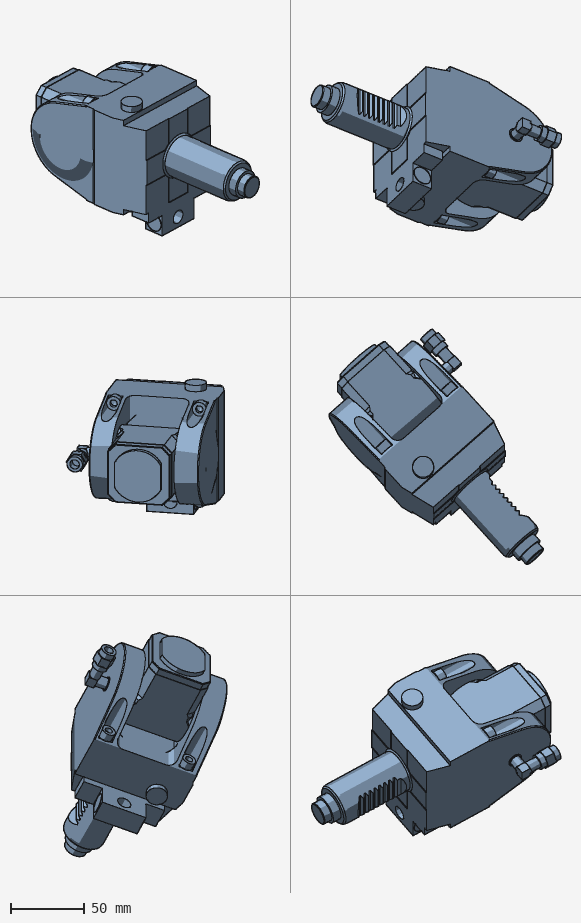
import cadquery as cq
import math


HALF_HEIGHT = 36.8
BACK_Y = 37.4
FRONT_Y = -40.0
ARM_FRONT_Y = -39.2
FLANGE_HALF = 32.7
FLANGE_DEPTH = 16.3
PAD_HALF_WIDTH = 9.8
PAD_HEIGHT = 0.5
FRONT_TAPER_LENGTH = 24.0
FRONT_STEP_END_X = -40.8
FRONT_STEP_LENGTH = 1.6

PIVOT_X = -69.7
ARM_RADIUS = 30.1
ARM_SLOPE = math.radians(15)
ARM_CHAMFER = 0.7
SLOT_HALF_WIDTH = 22.1
SLOT_CORNER = 6.0
CLEARANCE_HALF_HEIGHT = 22.9
CAP_BASE_RADIUS = 27.8
CAP_TOP_RADIUS = 18.7
CAP_Y = -42.1

SCREW_BACK_Y = 30.0
SCREW_FRONT_Y = -30.0
SCREW_Z = 32.5
SCREW_RADIUS = 4.9
SCREW_LENGTH = 6.0
SCREW_SEAT_X = -50.5
SCREW_RECESS_RADIUS = 5.0
SOCKET_RADIUS = 2.5
SOCKET_DEPTH = 3.0
SOCKET_CONE_DEPTH = 1.5

HEAD_HALF_HEIGHT = 21.0
HEAD_CHAMFER = 5.5
RUNOUT_START_X = -82.8
RUNOUT_STEP_START_X = -80.2
RUNOUT_STEP_END_X = -77.0
RUNOUT_END_X = -73.1
RUNOUT_STEP_CHAMFER = 3.5
RUNOUT_END_CHAMFER = 0.09
COVER_JOINT_X = -105.3
COVER_FACE_X = -110.5
COVER_INSET = 0.4
COVER_EDGE = 0.5
NOSE_X = -114.0
NOSE_RADIUS = 18.3
NOSE_HALF_WIDTH = 16.0

SHANK_RADIUS = 15.0
COLLAR_RADIUS = 16.3
COLLAR_END_X = 1.5
RELIEF_RADIUS = 14.9
RELIEF_END_X = 2.2
SHANK_TAPER_X = 51.9
SHANK_EDGE_X = 54.0
SHANK_EDGE_RADIUS = 14.5
SHANK_END_X = 55.2
SHANK_END_RADIUS = 13.5
STEP_RADIUS = 10.0
STEP_END_X = 61.3
TIP_RADIUS = 8.0
TIP_X = 67.5
TIP_CHAMFER = 0.5

RACK_START_X = 4.4
RACK_END_X = 44.5
RACK_FLOOR_Y = 12.2
TOOTH_ROOT_Y = 10.3
FIRST_ROOT_X = 11.8
TOOTH_PITCH = 4.0
TOOTH_COUNT = 8
ROOT_HALF_WIDTH = 0.5
GROOVE_HALF_WIDTH = 1.6

STUD_X = -24.3
STUD_Y = -20.1
STUD_RADIUS = 7.3
STUD_TOP_Z = 41.4
STUD_BOTTOM_Z = -40.8

LUG_LENGTH = 15.0
LUG_WIDE_HALF = 30.1
LUG_WIDE_Z = -40.3
LUG_HALF_WIDTH = 16.3
LUG_BOTTOM_Z = -56.0
LUG_HOLE_Z = -48.0
LUG_HOLE_RADIUS = 4.9
LUG_DISC_RADIUS = 6.7
LUG_DISC_HEIGHT = 0.4

FITTING_Y = 48.0
PIPE_RADIUS = 4.0
PIPE_RING_RADIUS = 5.0
PIPE_RING_HEIGHT = 0.5
ELBOW_LENGTH = 6.9
ELBOW_DEPTH = 6.5
NUT_START_X = -96.7
NUT_END_X = -81.1
NUT_RADIUS = 5.5
HEX_START_X = -92.4
HEX_END_X = -85.5
HEX_ACROSS_CORNERS = 13.8
BORE_RADIUS = 3.3
BORE_DEPTH = 7.3

tangent_x = PIVOT_X - ARM_RADIUS * math.sin(ARM_SLOPE)
tangent_z = ARM_RADIUS * math.cos(ARM_SLOPE)
shoulder_x = tangent_x + (HALF_HEIGHT - tangent_z) / math.tan(ARM_SLOPE)


def rod_x(x_start, x_end, radius, y=0.0, z=0.0):
    """Round bar parallel to X."""
    return cq.Workplane("YZ", origin=(x_start, y, z)).circle(radius).extrude(x_end - x_start)


def rod_y(y_start, y_end, radius, x, z=0.0):
    """Round bar parallel to Y."""
    return cq.Workplane("XZ", origin=(x, y_start, z)).circle(radius).extrude(y_start - y_end)


def block(x_range, y_range, z_range):
    """Box given by its start and end along each axis."""
    corner = (x_range[0], y_range[0], z_range[0])
    size = [end - start for start, end in (x_range, y_range, z_range)]
    return cq.Workplane(origin=corner).box(*size, centered=False)


def octagon(x, half_y, half_z, chamfer):
    """Rectangle with cut corners, drawn across X."""
    quarter = [(half_y, half_z - chamfer), (half_y - chamfer, half_z)]
    upper = quarter + [(-y, z) for y, z in reversed(quarter)]
    lower = [(-y, -z) for y, z in upper]
    return cq.Workplane("YZ", origin=(x, 0, 0)).polyline(upper + lower).close()


def make_body():
    """Block with tapered sides, stepped down to a flange that carries a raised cross."""
    body = (
        cq.Workplane("XY", origin=(0, 0, -HALF_HEIGHT))
        .moveTo(shoulder_x, ARM_FRONT_Y)
        .lineTo(FRONT_STEP_END_X - FRONT_STEP_LENGTH, ARM_FRONT_Y)
        .lineTo(FRONT_STEP_END_X, FRONT_Y)
        .lineTo(-FRONT_TAPER_LENGTH, FRONT_Y)
        .lineTo(0, -FLANGE_HALF)
        .lineTo(0, FLANGE_HALF)
        .lineTo(-FLANGE_DEPTH, BACK_Y)
        .lineTo(shoulder_x, BACK_Y)
        .close()
        .extrude(2 * HALF_HEIGHT)
    )
    for z_range in ((FLANGE_HALF, HALF_HEIGHT), (-HALF_HEIGHT, -FLANGE_HALF)):
        body = body.cut(block((-FLANGE_DEPTH, 0), (FRONT_Y, BACK_Y), z_range))
    long_side = (-FLANGE_HALF, FLANGE_HALF)
    short_side = (-PAD_HALF_WIDTH, PAD_HALF_WIDTH)
    body = body.union(block((0, PAD_HEIGHT), long_side, short_side))
    return body.union(block((0, PAD_HEIGHT), short_side, long_side))


def make_fork():
    """Two rounded arms with chamfered rims; the slot corners are square behind the head."""
    fork = (
        cq.Workplane("XZ", origin=(0, BACK_Y, 0))
        .moveTo(shoulder_x, HALF_HEIGHT)
        .lineTo(tangent_x, tangent_z)
        .threePointArc((PIVOT_X - ARM_RADIUS, 0), (tangent_x, -tangent_z))
        .lineTo(shoulder_x, -HALF_HEIGHT)
        .close()
        .extrude(BACK_Y - ARM_FRONT_Y)
    )
    fork = (
        fork.faces("<Y or >Y")
        .edges()
        .filter(lambda edge: edge.Center().x < shoulder_x - ARM_CHAMFER)
        .chamfer(ARM_CHAMFER)
    )
    slot = block(
        (PIVOT_X - ARM_RADIUS, shoulder_x),
        (-SLOT_HALF_WIDTH, SLOT_HALF_WIDTH),
        (-HALF_HEIGHT, HALF_HEIGHT),
    )
    fork = fork.cut(slot.edges("|Z and >X").fillet(SLOT_CORNER))
    clearance = octagon(PIVOT_X, SLOT_HALF_WIDTH, CLEARANCE_HALF_HEIGHT, SLOT_CORNER)
    return fork.cut(clearance.extrude(shoulder_x - PIVOT_X))


def make_cap():
    """Conical bearing cap on the -Y arm."""
    return (
        cq.Workplane("XZ", origin=(PIVOT_X, ARM_FRONT_Y, 0))
        .circle(CAP_BASE_RADIUS)
        .workplane(offset=ARM_FRONT_Y - CAP_Y)
        .circle(CAP_TOP_RADIUS)
        .loft()
    )


def make_screw_recess(y, side):
    """U-shaped trough for one screw, open outwards; side is +1 on top and -1 below."""
    x_start = PIVOT_X - ARM_RADIUS
    z = side * SCREW_Z
    trough = rod_x(x_start, SCREW_SEAT_X, SCREW_RECESS_RADIUS, y, z)
    opening = block(
        (x_start, SCREW_SEAT_X),
        (y - SCREW_RECESS_RADIUS, y + SCREW_RECESS_RADIUS),
        sorted((z, side * HALF_HEIGHT)),
    )
    return trough.union(opening)


def make_screw(y, side):
    """Socket screw head seated at the end of its trough; the socket has a conical bottom."""
    x_start = SCREW_SEAT_X - SCREW_LENGTH
    z = side * SCREW_Z
    head = rod_x(x_start, SCREW_SEAT_X, SCREW_RADIUS, y, z)
    socket = rod_x(x_start, x_start + SOCKET_DEPTH, SOCKET_RADIUS, y, z)
    cone = cq.Solid.makeCone(
        SOCKET_RADIUS,
        0,
        SOCKET_CONE_DEPTH,
        cq.Vector(x_start + SOCKET_DEPTH, y, z),
        cq.Vector(1, 0, 0),
    )
    return head.cut(socket).cut(cq.Workplane(cone))


def make_head():
    """Spindle housing with a round back, a front cover and a flattened nose."""
    stations = (
        (COVER_JOINT_X, HEAD_CHAMFER),
        (RUNOUT_START_X, HEAD_CHAMFER),
        (RUNOUT_STEP_START_X, RUNOUT_STEP_CHAMFER),
        (RUNOUT_STEP_END_X, RUNOUT_STEP_CHAMFER),
        (RUNOUT_END_X, RUNOUT_END_CHAMFER),
    )
    sections = [
        octagon(x, SLOT_HALF_WIDTH, HEAD_HALF_HEIGHT, chamfer).wires().val()
        for x, chamfer in stations
    ]
    head = cq.Workplane(cq.Solid.makeLoft(sections, True))
    head = head.union(
        block(
            (RUNOUT_END_X, PIVOT_X),
            (-SLOT_HALF_WIDTH, SLOT_HALF_WIDTH),
            (-HEAD_HALF_HEIGHT, HEAD_HALF_HEIGHT),
        )
    )
    head = head.union(rod_y(-SLOT_HALF_WIDTH, SLOT_HALF_WIDTH, HEAD_HALF_HEIGHT, PIVOT_X))

    cover = octagon(
        COVER_FACE_X,
        SLOT_HALF_WIDTH - COVER_INSET,
        HEAD_HALF_HEIGHT - COVER_INSET,
        HEAD_CHAMFER,
    )
    cover = cover.extrude(COVER_JOINT_X - COVER_FACE_X)
    cover = cover.faces("<X").chamfer(COVER_EDGE)

    nose = rod_x(NOSE_X, COVER_FACE_X, NOSE_RADIUS).intersect(
        block(
            (NOSE_X, COVER_FACE_X),
            (-NOSE_HALF_WIDTH, NOSE_HALF_WIDTH),
            (-NOSE_RADIUS, NOSE_RADIUS),
        )
    )
    return head.union(cover).union(nose)


def make_shank():
    """Turned shank with a row of teeth milled into its +Y side."""
    shank = (
        cq.Workplane("XY")
        .lineTo(0, COLLAR_RADIUS)
        .lineTo(PAD_HEIGHT, COLLAR_RADIUS)
        .lineTo(COLLAR_END_X, RELIEF_RADIUS)
        .lineTo(RELIEF_END_X, SHANK_RADIUS)
        .lineTo(SHANK_TAPER_X, SHANK_RADIUS)
        .lineTo(SHANK_EDGE_X, SHANK_EDGE_RADIUS)
        .lineTo(SHANK_END_X, SHANK_END_RADIUS)
        .lineTo(SHANK_END_X, STEP_RADIUS)
        .lineTo(STEP_END_X, STEP_RADIUS)
        .lineTo(STEP_END_X, TIP_RADIUS)
        .lineTo(TIP_X - TIP_CHAMFER, TIP_RADIUS)
        .lineTo(TIP_X, TIP_RADIUS - TIP_CHAMFER)
        .lineTo(TIP_X, 0)
        .close()
        .revolve(360, (0, 0, 0), (1, 0, 0))
    )
    ramp = SHANK_RADIUS - RACK_FLOOR_Y
    last_root_x = FIRST_ROOT_X + (TOOTH_COUNT - 1) * TOOTH_PITCH
    outline = [(RACK_START_X, SHANK_RADIUS), (RACK_START_X + ramp, RACK_FLOOR_Y)]
    for index in range(TOOTH_COUNT):
        root_x = FIRST_ROOT_X + index * TOOTH_PITCH
        outline += [
            (root_x - GROOVE_HALF_WIDTH, RACK_FLOOR_Y),
            (root_x - ROOT_HALF_WIDTH, TOOTH_ROOT_Y),
            (root_x + ROOT_HALF_WIDTH, TOOTH_ROOT_Y),
        ]
        if root_x < last_root_x:
            outline.append((root_x + GROOVE_HALF_WIDTH, RACK_FLOOR_Y))
    outline.append((RACK_END_X, SHANK_RADIUS))
    rack = cq.Workplane("XY").polyline(outline).close().extrude(SHANK_RADIUS, both=True)
    return shank.cut(rack)


def make_stud():
    """Round stud passing through the body and standing out at top and bottom."""
    return (
        cq.Workplane("XY", origin=(STUD_X, STUD_Y, STUD_BOTTOM_Z))
        .circle(STUD_RADIUS)
        .extrude(STUD_TOP_Z - STUD_BOTTOM_Z)
    )


def make_lug():
    """T-shaped lug with a cross hole along X and a shallow disc on each side."""
    x_range = (-LUG_LENGTH, 0)
    lug = block(x_range, (-LUG_WIDE_HALF, LUG_WIDE_HALF), (LUG_WIDE_Z, -FLANGE_HALF))
    lug = lug.union(block(x_range, (-LUG_HALF_WIDTH, LUG_HALF_WIDTH), (LUG_BOTTOM_Z, LUG_WIDE_Z)))
    disc_y = LUG_HALF_WIDTH + LUG_DISC_HEIGHT
    lug = lug.union(rod_y(-disc_y, disc_y, LUG_DISC_RADIUS, -LUG_LENGTH / 2, LUG_HOLE_Z))
    return lug.cut(rod_x(-LUG_LENGTH, 0, LUG_HOLE_RADIUS, 0, LUG_HOLE_Z))


def make_fitting():
    """Elbow pipe with a union nut pointing towards -X."""
    elbow_x = PIVOT_X + PIPE_RADIUS
    elbow_y = FITTING_Y + PIPE_RADIUS
    fitting = rod_y(BACK_Y, elbow_y, PIPE_RADIUS, PIVOT_X)
    fitting = fitting.union(rod_y(BACK_Y, BACK_Y + PIPE_RING_HEIGHT, PIPE_RING_RADIUS, PIVOT_X))
    fitting = fitting.union(rod_x(NUT_END_X, elbow_x, PIPE_RADIUS, FITTING_Y))
    corner = block(
        (elbow_x - ELBOW_LENGTH, elbow_x),
        (elbow_y - ELBOW_DEPTH, elbow_y),
        (-PIPE_RADIUS, PIPE_RADIUS),
    )
    nut = rod_x(NUT_START_X, NUT_END_X, NUT_RADIUS, FITTING_Y)
    hexagon = (
        cq.Workplane("YZ", origin=(HEX_START_X, FITTING_Y, 0))
        .polygon(6, HEX_ACROSS_CORNERS)
        .extrude(HEX_END_X - HEX_START_X)
    )
    bore = rod_x(NUT_START_X, NUT_START_X + BORE_DEPTH, BORE_RADIUS, FITTING_Y)
    return fitting.union(corner).union(nut).union(hexagon).cut(bore)


result = make_body().union(make_fork()).union(make_cap())
for screw_y in (SCREW_BACK_Y, SCREW_FRONT_Y):
    for screw_side in (1, -1):
        result = result.cut(make_screw_recess(screw_y, screw_side))
        result = result.union(make_screw(screw_y, screw_side))
for component in (make_head(), make_shank(), make_stud(), make_lug(), make_fitting()):
    result = result.union(component)